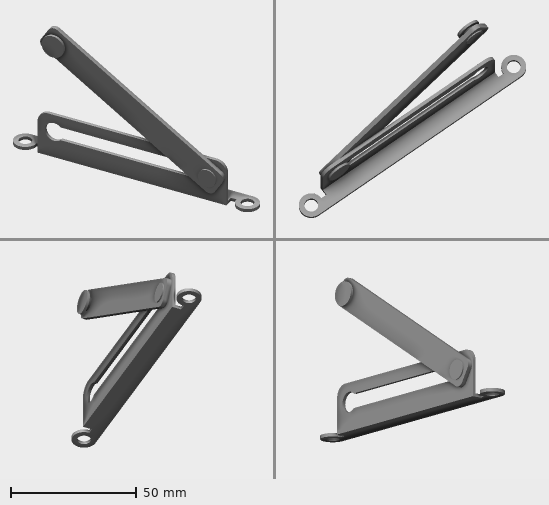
import cadquery as cq
import math

eye_diameter = 10.0
eye_hole_diameter = 5.5
overall_length = 110.0
eye_x = (overall_length - eye_diameter) / 2
flange_length = 85.0
flange_height = 20.0
flange_corner_radius = 5.0
sheet_thickness = 1.4
flange_front_y = -8.9
flange_back_y = flange_front_y + sheet_thickness
slot_width = 6.0
slot_end_x = 35.0
slot_z = 12.0
keyhole_diameter = 8.4

arm_length = 92.6
arm_width = 12.0
arm_thickness = 2.0
arm_corner_radius = 3.0
arm_front_y = flange_front_y - arm_thickness
button_x = -33.3
button_z = 55.5
arm_angle = math.degrees(math.atan2(slot_z - button_z, slot_end_x - button_x))
arm_center = ((slot_end_x + button_x) / 2, (slot_z + button_z) / 2)

shank_diameter = 6.0
large_head_diameter = 10.0
small_head_diameter = 8.0
rivet_back_head_thickness = 1.0
rivet_front_head_thickness = 0.5
button_back_head_thickness = 0.4
button_front_y = -13.5
button_head_thickness = 1.1


def front_plane(y):
    """Workplane in global X and Z at depth y; extrusion goes toward -Y."""
    return cq.Workplane("XZ", origin=(0, y, 0))


def disc(x, z, diameter, back_y, front_y):
    """Cylinder along Y between two depths."""
    return front_plane(back_y).center(x, z).circle(diameter / 2).extrude(back_y - front_y)


def make_foot():
    strip_width = eye_diameter / 2
    foot = cq.Workplane("XY").rect(2 * eye_x, strip_width).extrude(sheet_thickness)
    foot = foot.translate((0, -strip_width / 2, 0))
    middle = cq.Workplane("XY").box(
        flange_length, -flange_front_y, sheet_thickness, centered=(True, False, False)
    )
    eye_points = [(-eye_x, -strip_width), (eye_x, -strip_width)]
    eyes = cq.Workplane("XY").pushPoints(eye_points).circle(eye_diameter / 2).extrude(sheet_thickness)
    holes = cq.Workplane("XY").pushPoints(eye_points).circle(eye_hole_diameter / 2).extrude(sheet_thickness)
    return foot.union(middle.translate((0, flange_front_y, 0))).union(eyes).cut(holes)


def make_flange():
    flange = (
        front_plane(flange_back_y)
        .center(0, flange_height / 2)
        .rect(flange_length, flange_height)
        .extrude(sheet_thickness)
        .edges("|Y and >Z")
        .fillet(flange_corner_radius)
    )
    slot = (
        front_plane(flange_back_y)
        .center(0, slot_z)
        .slot2D(2 * slot_end_x + slot_width, slot_width)
        .extrude(sheet_thickness)
    )
    keyhole = disc(-slot_end_x, slot_z, keyhole_diameter, flange_back_y, flange_front_y)
    return flange.cut(slot).cut(keyhole)


def make_arm():
    bar = (
        front_plane(flange_front_y)
        .rect(arm_length, arm_width)
        .extrude(arm_thickness)
        .edges("|Y")
        .fillet(arm_corner_radius)
        .rotate((0, 0, 0), (0, -1, 0), arm_angle)
        .translate((arm_center[0], 0, arm_center[1]))
    )
    for x, z in [(slot_end_x, slot_z), (button_x, button_z)]:
        bar = bar.cut(disc(x, z, shank_diameter, flange_front_y, arm_front_y))
    return bar


def make_rivet():
    back_y = flange_back_y + rivet_back_head_thickness
    front_y = arm_front_y - rivet_front_head_thickness
    shank = disc(slot_end_x, slot_z, shank_diameter, flange_back_y, arm_front_y)
    back_head = disc(slot_end_x, slot_z, large_head_diameter, back_y, flange_back_y)
    front_head = disc(slot_end_x, slot_z, small_head_diameter, arm_front_y, front_y)
    return shank.union(back_head).union(front_head)


def make_button():
    back_y = flange_front_y + button_back_head_thickness
    head_back_y = button_front_y + button_head_thickness
    shank = disc(button_x, button_z, shank_diameter, flange_front_y, head_back_y)
    back_head = disc(button_x, button_z, small_head_diameter, back_y, flange_front_y)
    front_head = disc(button_x, button_z, large_head_diameter, head_back_y, button_front_y)
    return shank.union(back_head).union(front_head)


bracket = make_foot().union(make_flange())
arm = make_arm()
rivet = make_rivet()
button = make_button()

result = cq.Compound.makeCompound([bracket.val(), arm.val(), rivet.val(), button.val()])